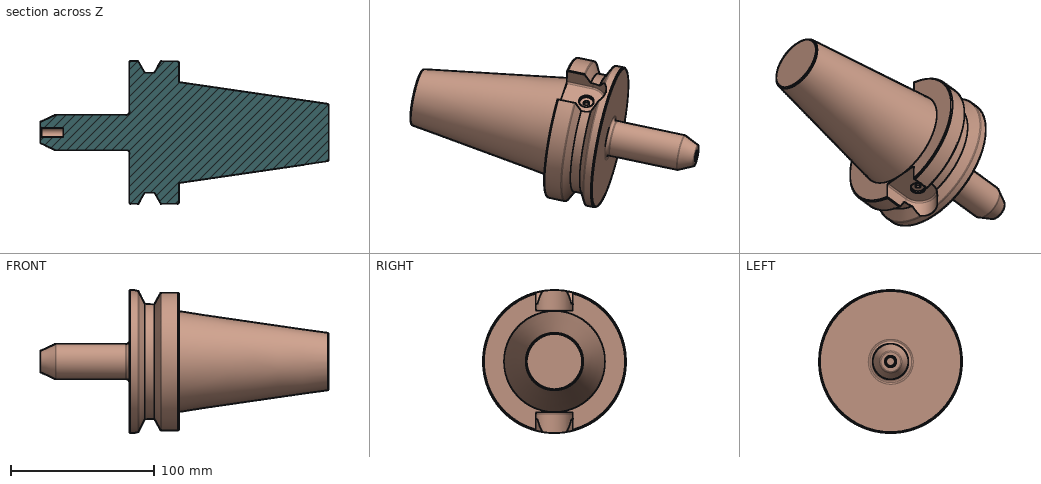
import cadquery as cq
import math


total_length = 201.8
flange_front = 62.2
flange_rear = 97.0

pin_radius = 25.0 / 2
tip_radius = 7.5
tip_cone_length = 10.9
nose_edge_fillet = 1.0
tip_hole_radius = 6.0 / 2
tip_hole_countersink_radius = 7.0 / 2
tip_hole_mouth_radius = 4.0
countersink_half_angle = math.radians(30)
mouth_half_angle = math.radians(60)
tip_hole_depth = 16.1

undercut_pin_depth = 0.1
undercut_face_depth = 0.2
undercut_radius = 2.2
undercut_ramp = 0.6
undercut_rim_radius = 15.7

flange_radius = 100.0 / 2
flange_edge_chamfer = 0.8
groove_floor_radius = 42.2
groove_floor_width = 6.7
groove_center = flange_front + 14.3
groove_half_angle = math.radians(30)
groove_corner_fillet = 0.8

taper_front_radius = 35.3
taper_slope = 7 / 48
taper_end_chamfer = 0.8

slot_width = 25.8
slot_floor_height = 35.3
slot_round_center = 78.5
slot_floor_fillet = 1.0
slot_rim_chamfer = 0.6

screw_center = 79.5
screw_radius = 10.0 / 2
screw_recess_depth = 2.0
screw_rim_chamfer = 0.2
socket_radius = 4.0 / 2
socket_depth = 2.0
socket_tip_slope = math.radians(30)


selection_margin = 0.2


def turn(profile):
    """Revolve an (x, radius) profile about the X axis."""
    return profile.close().revolve(360, (0, 0, 0), (1, 0, 0))


def make_pin_and_shank():
    """Nose pin, undercut, core of the flange and taper shank in one turned body."""
    neck_radius = pin_radius - undercut_pin_depth
    face_floor = flange_front + undercut_face_depth
    arc_start = face_floor - undercut_radius
    diagonal = undercut_radius * math.sqrt(0.5)
    arc_middle = (arc_start + diagonal, neck_radius + undercut_radius - diagonal)
    taper_end_radius = taper_front_radius - taper_slope * (total_length - flange_rear)
    profile = (
        cq.Workplane("XY")
        .lineTo(0, tip_radius)
        .lineTo(tip_cone_length, pin_radius)
        .lineTo(arc_start - undercut_ramp, pin_radius)
        .lineTo(arc_start, neck_radius)
        .threePointArc(arc_middle, (face_floor, neck_radius + undercut_radius))
        .lineTo(flange_front, undercut_rim_radius)
        .lineTo(flange_rear, taper_front_radius)
        .lineTo(total_length, taper_end_radius)
        .lineTo(total_length, 0)
    )
    body = turn(profile).faces(">X").chamfer(taper_end_chamfer)
    reach = pin_radius + selection_margin
    nose_edges = cq.selectors.BoxSelector(
        (-selection_margin, -reach, -reach),
        (tip_cone_length + selection_margin, reach, reach),
        boundingbox=True,
    )
    return body.edges(nose_edges).edges("%CIRCLE").fillet(nose_edge_fillet)


def make_flange():
    """Grooved ring that surrounds the core of the turned body."""
    groove_depth = flange_radius - groove_floor_radius
    floor_half = groove_floor_width / 2
    mouth_half = floor_half + groove_depth * math.tan(groove_half_angle)
    bore_radius = undercut_rim_radius
    profile = (
        cq.Workplane("XY")
        .moveTo(flange_front, bore_radius)
        .lineTo(flange_front, flange_radius)
        .lineTo(groove_center - mouth_half, flange_radius)
        .lineTo(groove_center - floor_half, groove_floor_radius)
        .lineTo(groove_center + floor_half, groove_floor_radius)
        .lineTo(groove_center + mouth_half, flange_radius)
        .lineTo(flange_rear, flange_radius)
        .lineTo(flange_rear, bore_radius)
    )
    flange = turn(profile)
    reach = flange_radius + selection_margin
    mouth_edges = cq.selectors.BoxSelector(
        (groove_center - mouth_half - selection_margin, -reach, -reach),
        (groove_center + mouth_half + selection_margin, reach, reach),
        boundingbox=True,
    )
    outer_edges = cq.selectors.RadiusNthSelector(-1)
    flange = flange.edges(mouth_edges).edges(outer_edges).fillet(groove_corner_fillet)
    flange = flange.faces("<X").edges(outer_edges).chamfer(flange_edge_chamfer)
    return flange.faces(">X").edges(outer_edges).chamfer(flange_edge_chamfer)


def make_slot_cutter():
    """Round-ended slot that runs out past the flange rear."""
    half_width = slot_width / 2
    length = flange_rear - slot_round_center + slot_width
    slot = (
        cq.Workplane("XY", origin=(slot_round_center, 0, slot_floor_height))
        .moveTo(length, -half_width)
        .lineTo(0, -half_width)
        .threePointArc((-half_width, 0), (0, half_width))
        .lineTo(length, half_width)
        .close()
        .extrude(flange_radius - slot_floor_height)
    )
    return slot.faces("<Z").edges("not >X").fillet(slot_floor_fillet)


def make_rim_cutter():
    """Flared channel that breaks both straight slot edges on the rear land."""
    half_width = slot_width / 2
    bottom = math.sqrt(flange_radius**2 - half_width**2) - slot_rim_chamfer
    height = flange_radius - bottom
    profile = (
        cq.Workplane("YZ", origin=(groove_center, 0, 0))
        .moveTo(-half_width, bottom)
        .lineTo(half_width, bottom)
        .lineTo(half_width + height, bottom + height)
        .lineTo(-half_width - height, bottom + height)
        .close()
    )
    return profile.extrude(flange_rear - groove_center)


def make_screw_cutter():
    """Screw recess with a smaller cone-bottomed socket in its floor."""
    recess_floor = slot_floor_height - screw_recess_depth
    socket_floor = recess_floor - socket_depth
    socket_tip_height = socket_radius * math.tan(socket_tip_slope)
    profile = (
        cq.Workplane("XZ", origin=(screw_center, 0, 0))
        .moveTo(0, socket_floor - socket_tip_height)
        .lineTo(socket_radius, socket_floor)
        .lineTo(socket_radius, recess_floor)
        .lineTo(screw_radius, recess_floor)
        .lineTo(screw_radius, slot_floor_height - screw_rim_chamfer)
        .lineTo(screw_radius + screw_rim_chamfer, slot_floor_height)
        .lineTo(0, slot_floor_height)
        .close()
    )
    return profile.revolve(360, (0, 0, 0), (0, 1, 0))


def make_tip_hole():
    """Blind center hole with a 60 degree countersink and a flatter mouth."""
    mouth_step = tip_hole_mouth_radius - tip_hole_countersink_radius
    mouth_depth = mouth_step / math.tan(mouth_half_angle)
    countersink_step = tip_hole_countersink_radius - tip_hole_radius
    countersink_depth = countersink_step / math.tan(countersink_half_angle)
    profile = (
        cq.Workplane("XY")
        .lineTo(0, tip_hole_mouth_radius)
        .lineTo(mouth_depth, tip_hole_countersink_radius)
        .lineTo(mouth_depth + countersink_depth, tip_hole_radius)
        .lineTo(tip_hole_depth, tip_hole_radius)
        .lineTo(tip_hole_depth, 0)
    )
    return turn(profile)


slot_cutters = (make_slot_cutter(), make_rim_cutter(), make_screw_cutter())
result = make_pin_and_shank().union(make_flange())
for turn_angle in (0, 180):
    for cutter in slot_cutters:
        result = result.cut(cutter.rotate((0, 0, 0), (1, 0, 0), turn_angle))
result = result.cut(make_tip_hole())